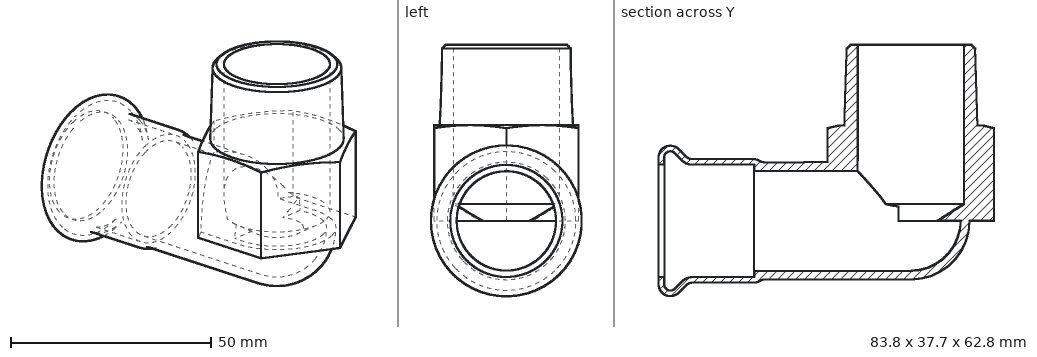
import cadquery as cq
import math


total_length = 83.8
total_height = 62.8

hex_flats = 36.0
hex_height = 23.9
hex_chamfer_angle = math.radians(15)

bead_radius = 18.85
bead_round = 3.0
bead_blend = 1.85
socket_radius = 31.0 / 2
tube_radius = 29.4 / 2
step_start = 23.9
step_round = 2.2
step_angle = math.radians(27)

tube_bore_radius = 12.4
mouth_radius = 14.0
socket_wall = socket_radius - mouth_radius
tube_bore_setback = 3.1

thread_base_radius = 16.7
thread_tip_radius = 16.1
thread_chamfer_radius = 15.1
thread_chamfer_height = 1.0
thread_bore_radius = 13.2
port_radius = 6.6
cone_height = 4.2

hex_corners = hex_flats / math.cos(math.pi / 6)
mouth_x = hex_corners / 2 - total_length
thread_top = total_height - bead_radius

diagonal = math.pi / 4
bead_center = (mouth_x + bead_round, bead_radius - bead_round)
blend_center_radius = socket_radius + bead_blend
blend_center = (
    bead_center[0] + bead_center[1] - blend_center_radius + (bead_round + bead_blend) / math.sin(diagonal),
    blend_center_radius,
)


def revolve_about_x(profile):
    return profile.close().revolve(360, (0, 0, 0), (1, 0, 0))


def revolve_about_z(profile):
    return profile.close().revolve(360, (0, 0, 0), (0, 1, 0))


def arc_point(center, radius, angle):
    return (center[0] + radius * math.cos(angle), center[1] + radius * math.sin(angle))


def add_bead_skin(profile, inset):
    """Continue a profile over the bead, down its cone and through the blend, inset from the outside."""
    bead_arc = bead_round - inset
    blend_arc = bead_blend + inset
    return (
        profile.threePointArc(
            arc_point(bead_center, bead_arc, 3 * diagonal),
            arc_point(bead_center, bead_arc, diagonal),
        )
        .lineTo(*arc_point(blend_center, blend_arc, -3 * diagonal))
        .threePointArc(
            arc_point(blend_center, blend_arc, -2.5 * diagonal),
            arc_point(blend_center, blend_arc, -2 * diagonal),
        )
    )


def make_socket():
    """Beaded socket, stepped tube and spherical elbow end."""
    step_x = mouth_x + step_start
    arc_length_x = step_round * math.sin(step_angle)
    arc_drop = step_round * (1 - math.cos(step_angle))
    slope_drop = socket_radius - tube_radius - 2 * arc_drop
    slope_length_x = slope_drop / math.tan(step_angle)
    step_end_x = step_x + 2 * arc_length_x + slope_length_x
    upper_center = (step_x, socket_radius - step_round)
    lower_center = (step_end_x, tube_radius + step_round)
    half_angle = step_angle / 2

    profile = (
        cq.Workplane("XY")
        .moveTo(mouth_x, 0)
        .lineTo(mouth_x, bead_center[1])
    )
    profile = (
        add_bead_skin(profile, 0)
        .lineTo(step_x, socket_radius)
        .threePointArc(
            arc_point(upper_center, step_round, math.pi / 2 - half_angle),
            (step_x + arc_length_x, socket_radius - arc_drop),
        )
        .lineTo(step_end_x - arc_length_x, tube_radius + arc_drop)
        .threePointArc(
            arc_point(lower_center, step_round, -math.pi / 2 - half_angle),
            (step_end_x, tube_radius),
        )
        .lineTo(0, tube_radius)
        .threePointArc(arc_point((0, 0), tube_radius, diagonal), (tube_radius, 0))
    )
    return revolve_about_x(profile)


def make_hex_body():
    """Hexagon with corners on the X axis and a conical chamfer on its top."""
    prism = cq.Workplane("XY").polygon(6, hex_corners).extrude(hex_height)
    corner_drop = (hex_corners - hex_flats) / 2 * math.tan(hex_chamfer_angle)
    chamfer_envelope = revolve_about_z(
        cq.Workplane("XZ")
        .lineTo(hex_corners / 2, 0)
        .lineTo(hex_corners / 2, hex_height - corner_drop)
        .lineTo(hex_flats / 2, hex_height)
        .lineTo(0, hex_height)
    )
    return prism.intersect(chamfer_envelope)


def make_threaded_end():
    """Tapered male end with a chamfered tip."""
    return revolve_about_z(
        cq.Workplane("XZ")
        .moveTo(0, hex_height)
        .lineTo(thread_base_radius, hex_height)
        .lineTo(thread_tip_radius, thread_top - thread_chamfer_height)
        .lineTo(thread_chamfer_radius, thread_top)
        .lineTo(0, thread_top)
    )


def make_socket_bore():
    """Mouth, seal groove inside the bead, pipe seat and tube bore."""
    lip_x = mouth_x + socket_wall
    seat_x = mouth_x + step_start
    profile = (
        cq.Workplane("XY")
        .moveTo(mouth_x, 0)
        .lineTo(mouth_x, mouth_radius)
        .lineTo(lip_x, mouth_radius)
        .lineTo(lip_x, bead_center[1])
    )
    profile = (
        add_bead_skin(profile, socket_wall)
        .lineTo(seat_x, mouth_radius)
        .lineTo(seat_x, tube_bore_radius)
        .lineTo(-tube_bore_setback, tube_bore_radius)
        .lineTo(-tube_bore_setback, 0)
    )
    return revolve_about_x(profile)


def make_elbow_bore():
    """Lower half of the tube bore end and its spherical turn, below the hexagon."""
    tube_end = cq.Workplane("YZ").circle(tube_bore_radius).extrude(-tube_bore_setback)
    turn = cq.Workplane("XY").sphere(tube_bore_radius)
    lower_half = cq.Workplane("XY").box(
        total_length, total_length, total_length, centered=(True, True, False)
    ).translate((0, 0, -total_length))
    return tube_end.union(turn).intersect(lower_half)


def make_threaded_bore():
    """Straight bore ending in a cone that opens into the elbow."""
    return revolve_about_z(
        cq.Workplane("XZ")
        .lineTo(port_radius, 0)
        .lineTo(thread_bore_radius, cone_height)
        .lineTo(thread_bore_radius, thread_top)
        .lineTo(0, thread_top)
    )


body = make_socket().union(make_hex_body()).union(make_threaded_end())
result = body.cut(make_socket_bore()).cut(make_elbow_bore()).cut(make_threaded_bore())